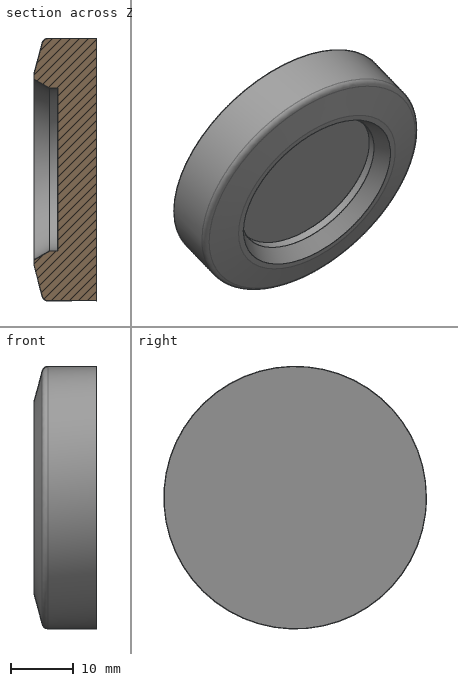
import cadquery as cq
import math

outer_radius = 21.0
thickness = 10.0

cone_height = 1.5
cone_angle = 15.0
rim_fillet = 1.0

recess_floor_radius = 13.0
recess_taper_depth = 2.5
recess_taper_angle = 30.0
recess_straight_depth = 1.3

land_outer_radius = outer_radius - cone_height / math.tan(math.radians(cone_angle))
recess_mouth_radius = recess_floor_radius + recess_taper_depth * math.tan(math.radians(recess_taper_angle))
recess_depth = recess_taper_depth + recess_straight_depth


def make_cap():
    """Revolve the half section, drawn as (axial, radial) points, about the X axis."""
    section = [
        (recess_depth, 0),
        (recess_depth, recess_floor_radius),
        (recess_taper_depth, recess_floor_radius),
        (0, recess_mouth_radius),
        (0, land_outer_radius),
        (cone_height, outer_radius),
        (thickness, outer_radius),
        (thickness, 0),
    ]
    return cq.Workplane("XY").polyline(section).close().revolve(360, (0, 0, 0), (1, 0, 0))


def round_rim(cap):
    """Fillet the circular edge where the cone meets the cylindrical side."""
    tolerance = 0.1
    reach = outer_radius + tolerance
    rim_zone = cq.selectors.BoxSelector(
        (cone_height - tolerance, -reach, -reach),
        (cone_height + tolerance, reach, reach),
        boundingbox=True,
    )
    return cap.edges(rim_zone).fillet(rim_fillet)


result = round_rim(make_cap())